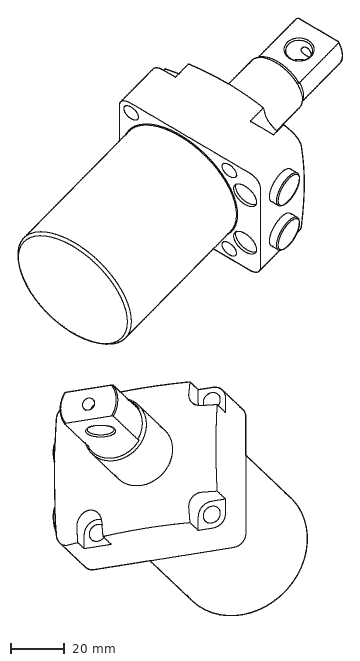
import cadquery as cq
import math


total_length = 151.0
housing_height = 57.0

housing_width = 66.0
housing_left = -housing_height / 2
housing_depth = 33.0
corner_radius = 5.0
cone_flat_radius = 15.1
cone_angle = 15.0

barrel_radius = 26.6
barrel_length = 66.0
barrel_chamfer = 1.0
barrel_root_flare = 0.3

screw_offset = 23.0
screw_hole_diameter = 6.8
head_pocket_radius = 5.5
head_pocket_floor = 20.1

port_recess_diameter = 10.7
port_recess_depth = 1.2
port_recess_x = 30.4
port_recess_z = 13.9

rod_radius = 12.5
rod_taper_start = 58.7
rod_taper_end = 60.5
rod_end = total_length - barrel_length
tang_radius = 11.6
tang_thickness = 12.5
tang_flat_start = 60.0
tang_root_fillet = 0.5
tang_end_chamfer = 0.5
pin_hole_diameter = 10.0
pin_hole_chamfer = 0.6
pin_hole_y = rod_end - 12.0
end_hole_diameter = 4.8

plug_diameter = 14.0
plug_length = 3.8
plug_chamfer = 0.5
plug_y = 12.5
plug_z = 13.0


def box_between(low, high):
    """Box spanned by two opposite corners."""
    size = [b - a for a, b in zip(low, high)]
    return cq.Workplane("XY").box(*size, centered=False).translate(low)


def y_cylinder(diameter, x, z, start, end):
    """Cylinder parallel to Y between two Y positions."""
    direction = cq.Vector(0, 1, 0)
    return cq.Workplane(cq.Solid.makeCylinder(diameter / 2, end - start, cq.Vector(x, start, z), direction))


def revolve_about_y(profile):
    """Solid of revolution about the Y axis from (radius, Y) points."""
    return cq.Workplane("XY").polyline(profile).close().revolve(360, (0, 0, 0), (0, 1, 0))


def make_block():
    """Rounded block whose +Y face falls away as a cone around the rod."""
    half_height = housing_height / 2
    block = box_between(
        (housing_left, 0, -half_height),
        (housing_left + housing_width, housing_depth, half_height),
    ).edges("|Y").fillet(corner_radius)
    cone_base_radius = housing_width
    cone_drop = (cone_base_radius - cone_flat_radius) * math.tan(math.radians(cone_angle))
    cone = revolve_about_y(
        [
            (0, 0),
            (cone_base_radius, 0),
            (cone_base_radius, housing_depth - cone_drop),
            (cone_flat_radius, housing_depth),
            (0, housing_depth),
        ]
    )
    return block.intersect(cone)


def make_barrel():
    """Round barrel, chamfered at its free end and flared slightly where it meets the block."""
    return revolve_about_y(
        [
            (0, 0),
            (barrel_radius + barrel_root_flare, 0),
            (barrel_radius, -barrel_root_flare),
            (barrel_radius, barrel_chamfer - barrel_length),
            (barrel_radius - barrel_chamfer, -barrel_length),
            (0, -barrel_length),
        ]
    )


def make_head_pocket(side_x, side_z):
    """Screw head pocket: open to the outer corner on the left, only up or down on the right."""
    outside = housing_height
    inner = screw_offset - head_pocket_radius
    outer = screw_offset + head_pocket_radius
    pocket = y_cylinder(2 * head_pocket_radius, screw_offset, screw_offset, head_pocket_floor, housing_depth)
    pocket = pocket.union(
        box_between((inner, head_pocket_floor, screw_offset), (outer, housing_depth, outside))
    )
    if side_x < 0:
        side_opening = box_between((screw_offset, head_pocket_floor, inner), (outside, housing_depth, outside))
        pocket = pocket.union(side_opening).mirror("YZ")
    if side_z < 0:
        pocket = pocket.mirror("XY")
    return pocket


def make_housing():
    """Block and barrel in one piece, with screw holes and port recesses."""
    housing = make_block().union(make_barrel())
    for side_z in (-1, 1):
        for side_x in (-1, 1):
            housing = housing.cut(
                y_cylinder(
                    screw_hole_diameter, side_x * screw_offset, side_z * screw_offset, 0, housing_depth
                )
            )
            housing = housing.cut(make_head_pocket(side_x, side_z))
        housing = housing.cut(
            y_cylinder(port_recess_diameter, port_recess_x, side_z * port_recess_z, 0, port_recess_depth)
        )
    return housing


def make_pin_hole():
    """Cross hole through the tang, countersunk on both flats."""
    hole_radius = pin_hole_diameter / 2
    rim_radius = hole_radius + pin_hole_chamfer
    half_thickness = tang_thickness / 2
    profile = [
        (0, -half_thickness),
        (rim_radius, -half_thickness),
        (hole_radius, pin_hole_chamfer - half_thickness),
        (hole_radius, half_thickness - pin_hole_chamfer),
        (rim_radius, half_thickness),
        (0, half_thickness),
    ]
    hole = cq.Workplane("XZ").polyline(profile).close().revolve(360, (0, 0, 0), (0, 1, 0))
    return hole.translate((0, pin_hole_y, 0))


def make_rod():
    """Stepped round rod, flattened at its end into a tang with a cross hole and an end hole."""
    rod = revolve_about_y(
        [
            (0, housing_depth),
            (rod_radius, housing_depth),
            (rod_radius, rod_taper_start),
            (tang_radius, rod_taper_end),
            (tang_radius, rod_end - tang_end_chamfer),
            (tang_radius - tang_end_chamfer, rod_end),
            (0, rod_end),
        ]
    )
    flat_cut = box_between(
        (-rod_radius, tang_flat_start, tang_thickness / 2),
        (rod_radius, rod_end, 2 * rod_radius),
    ).edges("<Y and <Z").fillet(tang_root_fillet)
    rod = rod.cut(flat_cut).cut(flat_cut.mirror("XY"))
    rod = rod.cut(make_pin_hole())
    return rod.cut(y_cylinder(end_hole_diameter, 0, 0, pin_hole_y, rod_end))


def make_plug(side_z):
    """Round plug standing on the right side of the housing."""
    return (
        cq.Workplane("YZ", origin=(housing_left + housing_width, plug_y, side_z * plug_z))
        .circle(plug_diameter / 2)
        .extrude(plug_length)
        .faces(">X")
        .chamfer(plug_chamfer)
    )


housing = make_housing()
rod = make_rod()
plugs = [make_plug(side_z) for side_z in (-1, 1)]

result = cq.Compound.makeCompound([housing.val(), rod.val(), *[plug.val() for plug in plugs]])